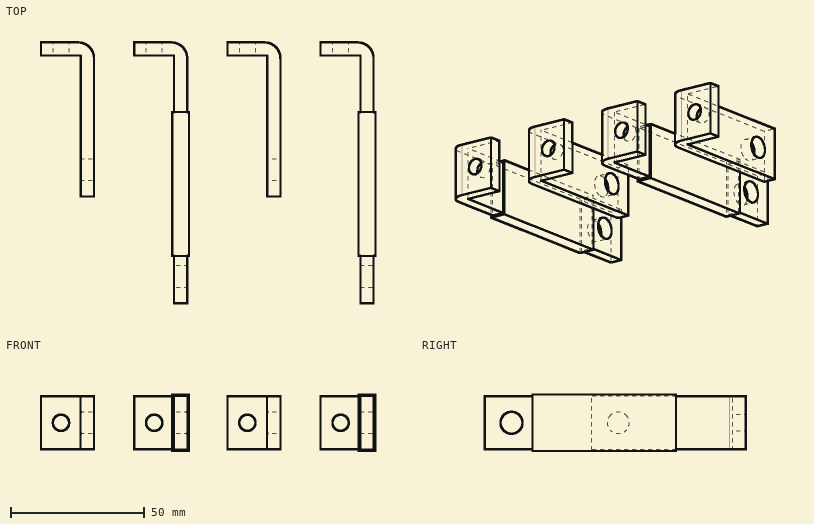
import cadquery as cq

total_width = 125.7
brackets_in_row = 4

bar_thickness = 5.0
bar_width = 20.0
foot_length = 20.0
bend_radius = 6.0
short_arm_length = 58.0
long_arm_length = 98.0

foot_hole_diameter = 6.0
foot_hole_from_tip = 7.5
arm_hole_diameter = 8.2
arm_hole_from_end = 10.0

sleeve_wall = 0.7
sleeve_length = 53.9
sleeve_from_end = 17.8

pitch = (total_width - foot_length - sleeve_wall) / (brackets_in_row - 1)


def bent_bar(arm_length):
    """L-shaped bar: foot along X at the back, arm running towards -Y."""
    arm_inner_x = foot_length - bar_thickness
    return (
        cq.Workplane("XY")
        .rect(foot_length, arm_length)
        .extrude(bar_width / 2, both=True)
        .translate((foot_length / 2, -arm_length / 2, 0))
        .edges("|Z and >X and >Y")
        .fillet(bend_radius)
        .cut(
            cq.Workplane("XY")
            .box(arm_inner_x, arm_length - bar_thickness, bar_width)
            .translate((arm_inner_x / 2, -(arm_length + bar_thickness) / 2, 0))
        )
    )


def foot_hole():
    """Cutter along Y through the foot."""
    return (
        cq.Workplane("XZ")
        .center(foot_hole_from_tip, 0)
        .circle(foot_hole_diameter / 2)
        .extrude(bar_thickness)
    )


def arm_hole(arm_length):
    """Cutter along X through the free end of the arm."""
    return (
        cq.Workplane("YZ")
        .center(arm_hole_from_end - arm_length, 0)
        .circle(arm_hole_diameter / 2)
        .extrude(foot_length)
    )


def sleeve(arm_length):
    """Block that thickens the arm evenly on all four sides."""
    center_x = foot_length - bar_thickness / 2
    center_y = sleeve_from_end + sleeve_length / 2 - arm_length
    return (
        cq.Workplane("XY")
        .box(bar_thickness + 2 * sleeve_wall, sleeve_length, bar_width + 2 * sleeve_wall)
        .translate((center_x, center_y, 0))
    )


def short_bracket():
    return bent_bar(short_arm_length).cut(foot_hole()).cut(arm_hole(short_arm_length))


def long_bracket():
    bar = bent_bar(long_arm_length).cut(foot_hole()).cut(arm_hole(long_arm_length))
    return bar.union(sleeve(long_arm_length))


brackets = []
for index in range(brackets_in_row):
    bracket = short_bracket() if index % 2 == 0 else long_bracket()
    brackets.append(bracket.translate((index * pitch, 0, 0)).val())

result = cq.Compound.makeCompound(brackets)